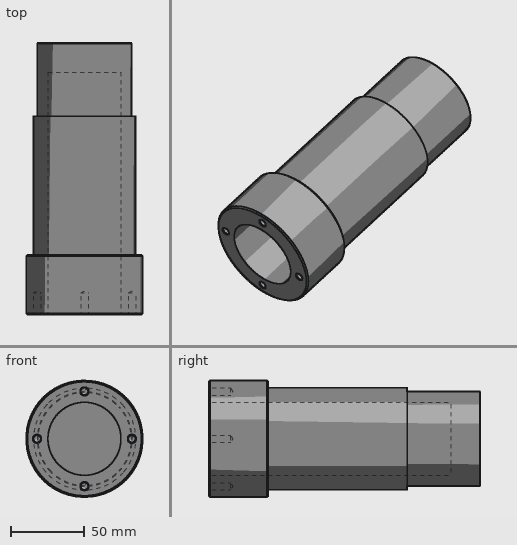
import cadquery as cq
import math

total_length = 186.0
flange_length = 41.0
tail_length = 50.0

flange_diameter = 80.0
body_diameter = 70.0
tail_diameter = 65.0

flange_chamfer = 1.0
tail_chamfer = 0.5

bore_diameter = 50.0
floor_thickness = 20.0
bore_depth = total_length - floor_thickness

hole_count = 4
hole_circle_diameter = 65.0
hole_diameter = 5.0
countersink_diameter = 6.0
hole_depth = 14.9
drill_tip_angle = 118.0

front_y = -total_length / 2
tail_start = total_length - tail_length


def cylinder(diameter, start, length):
    """Cylinder along +Y, starting at a distance behind the front face."""
    plane = cq.Workplane("XZ", origin=(0, front_y + start, 0))
    return plane.circle(diameter / 2).extrude(-length)


def screw_hole():
    """Cutter on the Y axis: 90 degree countersink, drilled wall and conical drill tip."""
    hole_radius = hole_diameter / 2
    countersink_radius = countersink_diameter / 2
    countersink_depth = countersink_radius - hole_radius
    tip_length = hole_radius / math.tan(math.radians(drill_tip_angle / 2))
    half_section = [
        (0, front_y),
        (countersink_radius, front_y),
        (hole_radius, front_y + countersink_depth),
        (hole_radius, front_y + hole_depth),
        (0, front_y + hole_depth + tip_length),
    ]
    profile = cq.Workplane("XY").polyline(half_section).close()
    return profile.revolve(360, (0, 0, 0), (0, 1, 0))


flange = cylinder(flange_diameter, 0, flange_length).edges().chamfer(flange_chamfer)
body = cylinder(body_diameter, flange_length, tail_start - flange_length)
tail = cylinder(tail_diameter, tail_start, tail_length).faces(">Y").edges().chamfer(tail_chamfer)
result = flange.union(body).union(tail)

result = result.cut(cylinder(bore_diameter, 0, bore_depth))

for index in range(hole_count):
    angle = 360 / hole_count * index
    hole = screw_hole().translate((hole_circle_diameter / 2, 0, 0))
    result = result.cut(hole.rotate((0, 0, 0), (0, 1, 0), angle))